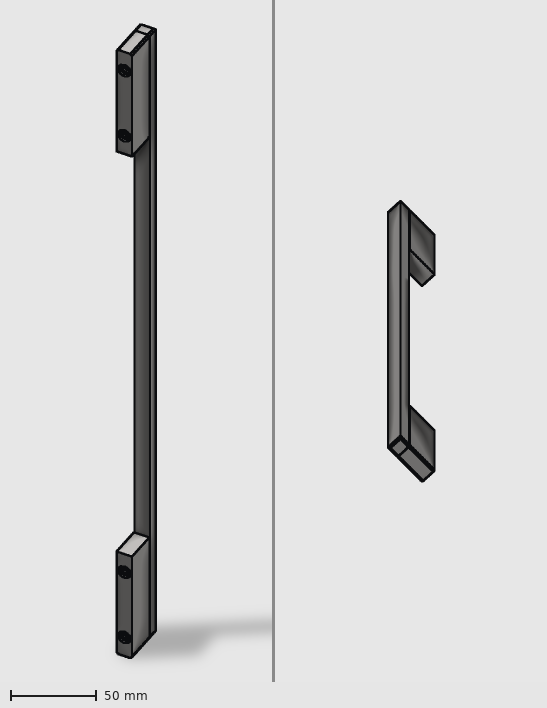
import cadquery as cq

length = 444.0
width = 10.0
depth = 29.0
end_chamfer = 1.1

bar_thickness = 8.0
bar_crown = 0.65

block_length = 75.0

hole_end_distance = 13.8
hole_spacing = 48.0
hole_steps = [(8.0, 2.0), (5.5, 4.5), (3.0, 13.5)]

half_width = width / 2
half_length = length / 2
back_y = depth / 2
front_y = -depth / 2
crown_y = back_y - bar_thickness
shoulder_y = crown_y + bar_crown


def make_envelope():
    """Outer box of the handle, chamfered at both ends except along the front edges."""
    return (
        cq.Workplane("XY")
        .box(width, depth, length)
        .edges("|Y")
        .chamfer(end_chamfer)
        .faces(">Y")
        .edges("|X")
        .chamfer(end_chamfer)
    )


def make_bar():
    """Full-length bar with a flat back and a gently crowned front."""
    return (
        cq.Workplane("XY", origin=(0, 0, -half_length))
        .moveTo(-half_width, back_y)
        .lineTo(-half_width, shoulder_y)
        .threePointArc((0, crown_y), (half_width, shoulder_y))
        .lineTo(half_width, back_y)
        .close()
        .extrude(length)
        .intersect(make_envelope())
    )


def make_block(end):
    """Flat-backed block touching the bar's crown; end is +1 for the top, -1 for the bottom."""
    block_depth = crown_y - front_y
    block_center = (0, (crown_y + front_y) / 2, end * (half_length - block_length / 2))
    block = cq.Workplane("XY", origin=block_center).box(width, block_depth, block_length)
    block = block.intersect(make_envelope())

    outer_hole_z = end * (half_length - hole_end_distance)
    inner_hole_z = outer_hole_z - end * hole_spacing
    for diameter, step_depth in hole_steps:
        hole_step = (
            cq.Workplane("XZ", origin=(0, front_y, 0))
            .pushPoints([(0, outer_hole_z), (0, inner_hole_z)])
            .circle(diameter / 2)
            .extrude(-step_depth)
        )
        block = block.cut(hole_step)
    return block


bar = make_bar()
blocks = [make_block(end) for end in (1, -1)]

result = cq.Compound.makeCompound([bar.val(), *[block.val() for block in blocks]])